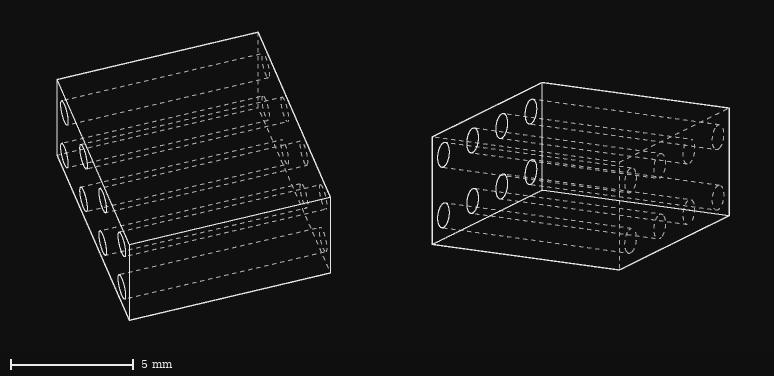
import cadquery as cq

width = 9.62
depth = 8.6
height = 4.54

hole_diameter = 1.02
hole_pitch = 2.55
hole_columns = 4
hole_rows = 2

block = cq.Workplane("XY").box(width, depth, height)

result = (
    block.faces("<Y")
    .workplane(centerOption="CenterOfBoundBox")
    .rarray(hole_pitch, hole_pitch, hole_columns, hole_rows)
    .hole(hole_diameter)
)